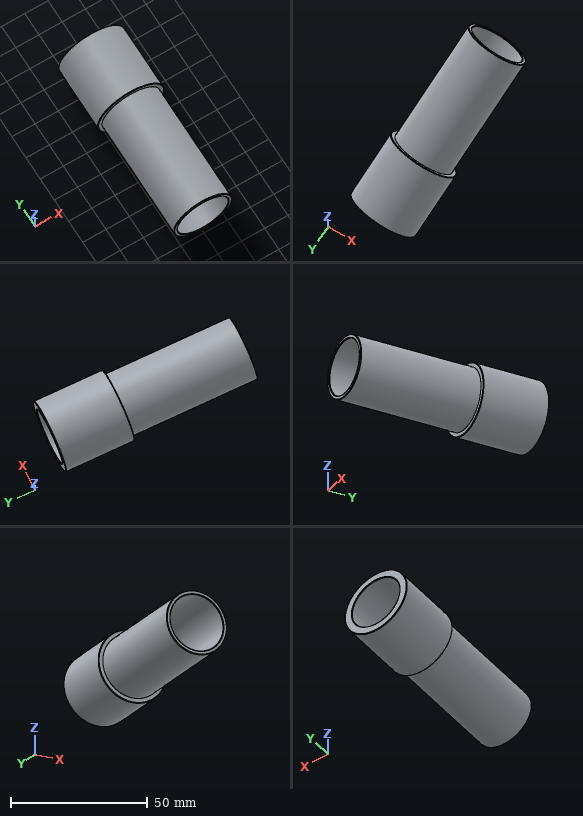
import cadquery as cq

collar_diameter = 28.575
collar_length = 27.94
tube_diameter = 25.0
tube_length = 50.8
bore_diameter = 21.9
edge_break = 0.254

total_length = collar_length + tube_length
tube_end = -total_length / 2
shoulder = tube_end + tube_length


def make_cylinder(diameter, start, length):
    """Solid cylinder along +Y from the station `start`."""
    base = cq.Workplane("XZ", origin=(0, start, 0))
    return base.circle(diameter / 2).extrude(-length)


def make_collar():
    """Wide end, with both outer edges chamfered."""
    return make_cylinder(collar_diameter, shoulder, collar_length).edges("%CIRCLE").chamfer(edge_break)


def make_tube():
    """Narrow end, with its free outer edge chamfered."""
    return make_cylinder(tube_diameter, tube_end, tube_length).faces("<Y").edges().chamfer(edge_break)


def make_bore():
    """Through bore, flared at both mouths by the edge chamfers."""
    mouth_diameter = bore_diameter + 2 * edge_break
    bore = make_cylinder(bore_diameter, tube_end, total_length)
    for end, direction in ((tube_end, 1), (-tube_end, -1)):
        mouth = cq.Solid.makeCone(
            mouth_diameter / 2,
            bore_diameter / 2,
            edge_break,
            cq.Vector(0, end, 0),
            cq.Vector(0, direction, 0),
        )
        bore = bore.union(cq.Workplane(mouth))
    return bore


result = make_collar().union(make_tube()).cut(make_bore())